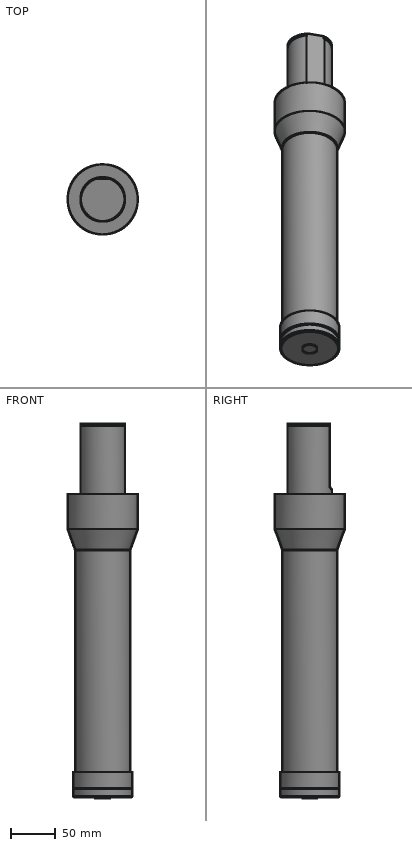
import cadquery as cq

overall_height = 426.0
rod_length = 80.0
collar_height = 40.0
shoulder_height = 23.4
base_top = 30.0
pad_height = 1.0

rod_diameter = 50.79
collar_diameter = 80.0
tube_diameter = 63.0
base_diameter = 67.6
pad_diameter = 17.0

rod_chamfer = 0.7
base_chamfer = 1.5

base_groove_bottom = 10.7
base_groove_width = 1.0
base_groove_depth = 1.0
neck_groove_width = 1.0
neck_groove_depth = 0.4
rod_groove_width = 1.3
rod_groove_depth = 0.4
rod_end_land = 1.6

flat_depth = 2.4
flat_runout_start = 4.5
flat_runout_length = 3.0

collar_top = overall_height - rod_length
collar_bottom = collar_top - collar_height
shoulder_bottom = collar_bottom - shoulder_height
neck_groove_bottom = shoulder_bottom - neck_groove_width
rod_groove_bottom = overall_height - rod_end_land - rod_groove_width
flat_bottom = collar_top + flat_runout_start


def cylinder(diameter, bottom, top):
    """Upright cylinder on the Z axis between two heights."""
    return cq.Workplane("XY").workplane(offset=bottom).circle(diameter / 2).extrude(top - bottom)


def groove_cutter(diameter, bottom, width, depth):
    """Ring that cuts a square groove into a cylinder of the given diameter."""
    top = bottom + width
    outer = cylinder(diameter + 2 * depth, bottom, top)
    root = cylinder(diameter - 2 * depth, bottom, top)
    return outer.cut(root)


def make_shoulder():
    """Cone that widens from the tube to the collar."""
    return (
        cq.Workplane("XY")
        .workplane(offset=shoulder_bottom)
        .circle(tube_diameter / 2)
        .workplane(offset=shoulder_height)
        .circle(collar_diameter / 2)
        .loft(ruled=True)
    )


def make_housing():
    """Foot pad, grooved base, tube, conical shoulder and collar in one solid."""
    pad = cylinder(pad_diameter, 0, pad_height)
    base = cylinder(base_diameter, pad_height, base_top).faces("<Z").chamfer(base_chamfer)
    tube = cylinder(tube_diameter, base_top, shoulder_bottom)
    collar = cylinder(collar_diameter, collar_bottom, collar_top)
    body = pad.union(base).union(tube).union(make_shoulder()).union(collar)

    base_groove = groove_cutter(base_diameter, base_groove_bottom, base_groove_width, base_groove_depth)
    neck_groove = groove_cutter(tube_diameter, neck_groove_bottom, neck_groove_width, neck_groove_depth)
    return body.cut(base_groove).cut(neck_groove)


def make_flat_cutter():
    """Block that cuts the rod's flat, with a sloped runout at its lower end."""
    rod_radius = rod_diameter / 2
    flat_y = rod_radius - flat_depth
    outside_y = rod_radius + flat_depth
    outline = [
        (rod_radius, flat_bottom),
        (flat_y, flat_bottom + flat_runout_length),
        (flat_y, overall_height),
        (outside_y, overall_height),
        (outside_y, flat_bottom),
    ]
    return cq.Workplane("YZ").polyline(outline).close().extrude(rod_radius, both=True)


def make_rod():
    """Rod standing on the collar, with a chamfered end, a ring groove and a flat."""
    rod = cylinder(rod_diameter, collar_top, overall_height).faces(">Z").chamfer(rod_chamfer)
    groove = groove_cutter(rod_diameter, rod_groove_bottom, rod_groove_width, rod_groove_depth)
    return rod.cut(make_flat_cutter()).cut(groove)


housing = make_housing().solids()
rod = make_rod().solids()

result = cq.Compound.makeCompound([housing.val(), rod.val()])